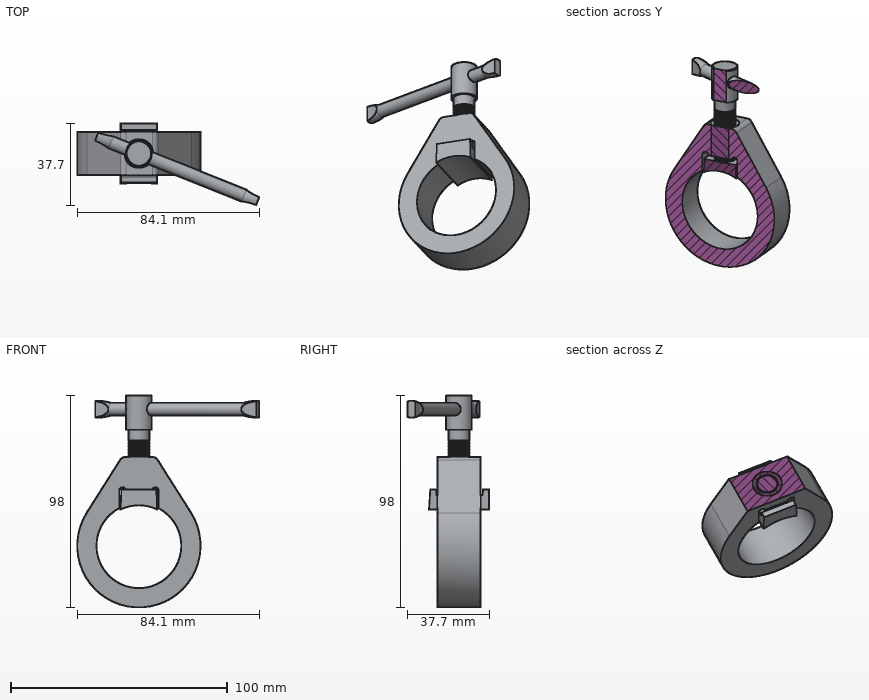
import cadquery as cq
import math


frame_width = 20.0
ring_radius = 28.5
bore_radius = 19.5
frame_top = 41.0
crown_half_width = 7.8
crown_fillet = 3.0

slot_width = 18.0
slot_top = 25.5
relief_radius = 1.4

jaw_top = 26.0
jaw_bottom = 16.4
jaw_top_width = 16.3
jaw_bottom_width = 17.0
jaw_back = 13.9
jaw_front_top = -13.3
jaw_front_bottom = -13.9
jaw_arc_top = 18.6
saddle_top = 23.5
saddle_front = -10.3
saddle_back = 10.85
saddle_back_lean = 0.2
lip_chamfer_length = 0.75
lip_chamfer_height = 0.2

bushing_radius = 6.65

screw_top = 69.47
head_radius = 6.0
head_length = 16.0
head_chamfer = 0.4
screw_radius = 4.9
neck_length = 4.9
thread_pitch = 1.0
thread_depth = 0.45

handle_radius = 3.0
handle_depth = 6.5
handle_z = screw_top - handle_depth
handle_angle = -21.82
handle_long_reach = 59.05
handle_short_reach = 21.0
flare_length = 7.0
flare_radius = 4.0


def cylinder_z(radius, z_low, z_high):
    return cq.Workplane("XY").workplane(offset=z_low).circle(radius).extrude(z_high - z_low)


def make_frame():
    """Ring with a tapered crown, bored for the bushing and slotted for the jaw."""
    corner_distance = math.hypot(crown_half_width, frame_top)
    corner_angle = math.atan2(frame_top, crown_half_width)
    tangent_angle = corner_angle - math.acos(ring_radius / corner_distance)
    tangent_x = ring_radius * math.cos(tangent_angle)
    tangent_z = ring_radius * math.sin(tangent_angle)

    frame = (
        cq.Workplane("XZ", origin=(0, frame_width / 2, 0))
        .moveTo(-crown_half_width, frame_top)
        .lineTo(crown_half_width, frame_top)
        .lineTo(tangent_x, tangent_z)
        .threePointArc((0, -ring_radius), (-tangent_x, tangent_z))
        .close()
        .extrude(frame_width)
    )
    frame = frame.faces(">Z").edges("|Y").fillet(crown_fillet)

    cutter_plane = cq.Workplane("XZ", origin=(0, frame_width / 2, 0))
    bore = cutter_plane.circle(bore_radius).extrude(frame_width)
    slot = cutter_plane.center(0, slot_top / 2).rect(slot_width, slot_top).extrude(frame_width)
    relief_x = slot_width / 2 - relief_radius
    reliefs = (
        cutter_plane.pushPoints([(-relief_x, slot_top), (relief_x, slot_top)])
        .circle(relief_radius)
        .extrude(frame_width)
    )
    bushing_hole = cylinder_z(bushing_radius, slot_top, frame_top)
    return frame.cut(bore).cut(slot).cut(reliefs).cut(bushing_hole)


def make_bushing():
    """Sleeve in the crown that carries the screw."""
    blank = cylinder_z(bushing_radius, slot_top, frame_top)
    return blank.cut(cylinder_z(screw_radius, slot_top, frame_top))


def make_jaw():
    """Flanged jaw whose sides and front lean outward toward the bottom; its back is upright."""
    length_bottom = jaw_back - jaw_front_bottom
    length_top = jaw_back - jaw_front_top
    centre_bottom = (jaw_back + jaw_front_bottom) / 2
    centre_top = (jaw_back + jaw_front_top) / 2
    jaw = (
        cq.Workplane("XY", origin=(0, centre_bottom, jaw_bottom))
        .rect(jaw_bottom_width, length_bottom)
        .workplane(offset=jaw_top - jaw_bottom)
        .center(0, centre_top - centre_bottom)
        .rect(jaw_top_width, length_top)
        .loft(ruled=True)
    )
    saddle = (
        cq.Workplane("YZ", origin=(-jaw_bottom_width / 2, 0, 0))
        .moveTo(saddle_front, saddle_top)
        .lineTo(saddle_back, saddle_top)
        .lineTo(saddle_back + saddle_back_lean, jaw_top)
        .lineTo(saddle_front - lip_chamfer_length, jaw_top)
        .lineTo(saddle_front, jaw_top - lip_chamfer_height)
        .close()
        .extrude(jaw_bottom_width)
    )
    grip = (
        cq.Workplane("XZ", origin=(0, jaw_back, 0))
        .center(0, jaw_arc_top - bore_radius)
        .circle(bore_radius)
        .extrude(length_bottom)
    )
    return jaw.cut(saddle).cut(grip)


def make_screw():
    """Screw with a cross-drilled head, standing on the jaw."""
    head_bottom = screw_top - head_length
    thread_top = head_bottom - neck_length
    thread_length = thread_top - saddle_top
    head = cylinder_z(head_radius, head_bottom, screw_top).faces(">Z").chamfer(head_chamfer)
    screw = head.union(cylinder_z(screw_radius, saddle_top, head_bottom))

    for turn in range(int(thread_length / thread_pitch)):
        groove_top = thread_top - turn * thread_pitch
        groove = (
            cq.Workplane("XZ")
            .moveTo(screw_radius, groove_top)
            .lineTo(screw_radius - thread_depth, groove_top - thread_pitch / 2)
            .lineTo(screw_radius, groove_top - thread_pitch)
            .close()
            .revolve(360, (0, 0), (0, 1))
        )
        screw = screw.cut(groove)

    cross_hole = cq.Workplane("YZ").circle(handle_radius).extrude(2 * head_radius, both=True)
    return screw.cut(place_handle(cross_hole))


def place_handle(shape):
    """Turn a shape lying along X to the handle direction and lift it to the cross hole."""
    turned = shape.rotate((0, 0, 0), (0, 0, 1), handle_angle)
    return turned.translate((0, 0, handle_z))


def half_profile(workplane, tip_offset, mid_offset):
    """Half profile of the handle, on one side of its axis, with arcs that level out at both tips."""
    left = -handle_short_reach
    right = handle_long_reach
    return (
        workplane
        .moveTo(left, 0)
        .lineTo(left, tip_offset)
        .threePointArc((left + flare_length / 2, mid_offset), (left + flare_length, handle_radius))
        .lineTo(right - flare_length, handle_radius)
        .threePointArc((right - flare_length / 2, mid_offset), (right, tip_offset))
        .lineTo(right, 0)
        .close()
    )


def make_handle():
    """Sliding bar with flared, flattened ends."""
    tip_step = flare_radius - handle_radius
    arc_radius = (flare_length**2 + tip_step**2) / (2 * tip_step)
    mid_drop = arc_radius - math.sqrt(arc_radius**2 - (flare_length / 2) ** 2)

    rod_profile = half_profile(cq.Workplane("XY"), flare_radius, flare_radius - mid_drop)
    rod = rod_profile.revolve(360, (0, 0), (1, 0))

    tip_offset = handle_radius - tip_step
    flats_plane = cq.Workplane("XY", origin=(0, 0, -flare_radius))
    half_flats = half_profile(flats_plane, tip_offset, tip_offset + mid_drop).extrude(2 * flare_radius)
    flats = half_flats.union(half_flats.mirror("XZ"))
    return place_handle(rod.intersect(flats))


frame = make_frame()
bushing = make_bushing()
jaw = make_jaw()
screw = make_screw()
handle = make_handle()

result = cq.Compound.makeCompound([frame.val(), bushing.val(), jaw.val(), screw.val(), handle.val()])